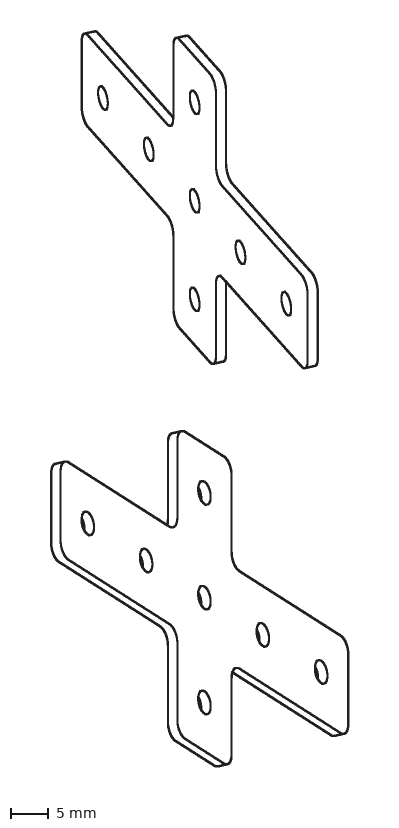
import cadquery as cq

length = 74.0
height = 44.0
thickness = 1.5
arm_width = 14.0
corner_radius = 2.0
hole_diameter = 3.2

hole_pitch_x = (length - arm_width) / 4
hole_pitch_z = (height - arm_width) / 2


def arm(size_x, size_z):
    """Flat bar lying in the XZ plane, centred on the origin."""
    return cq.Workplane("XY").box(size_x, thickness, size_z)


plate = arm(length, arm_width).union(arm(arm_width, height))
plate = plate.edges("|Y").fillet(corner_radius)

hole_centres = [(step * hole_pitch_x, 0) for step in range(-2, 3)]
hole_centres += [(0, side * hole_pitch_z) for side in (-1, 1)]
holes = (
    cq.Workplane("XZ", origin=(0, thickness / 2, 0))
    .pushPoints(hole_centres)
    .circle(hole_diameter / 2)
    .extrude(thickness)
)

result = plate.cut(holes)